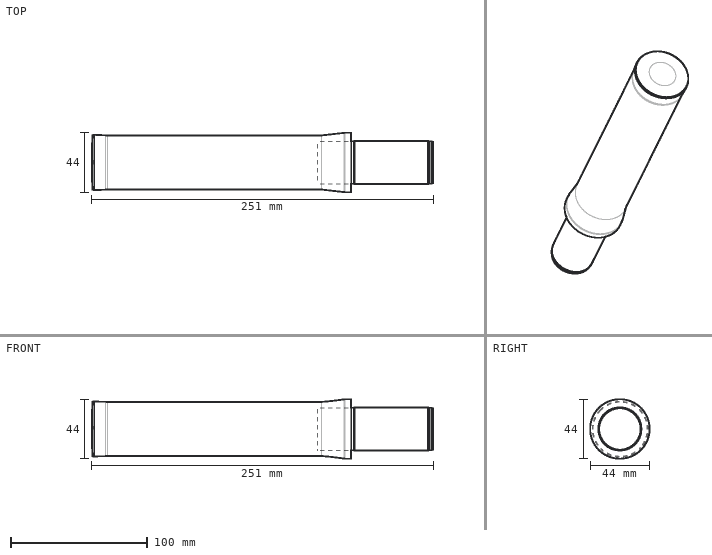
import cadquery as cq

total_length = 251.0
end_bevel_length = 1.8
foot_taper_end = 10.0
foot_end = 11.5
flare_start = 168.7
flare_end = 185.2
flange_start = 186.0
flange_end = 190.8
neck_end = 192.5
shank_start = 193.3
shank_end = 247.2
tip_start = 248.0
tip_bevel_start = 249.5

barrel_diameter = 40.0
flange_diameter = 44.0
flare_diameter = 43.7
foot_diameter = 41.0
foot_small_diameter = 40.2
end_face_diameter = 40.0

dimple_diameter = 20.3
dimple_depth = 0.8
end_face_fall = 0.5

rod_diameter = 32.0
neck_diameter = 31.5
tip_end_diameter = 30.4
socket_depth = 25.0
socket_floor = flange_end - socket_depth


def turned_solid(stations):
    """Revolve (x, diameter) stations about the X axis; both ends lie on the axis."""
    points = [(x, diameter / 2) for x, diameter in stations]
    return cq.Workplane("XY").polyline(points).close().revolve(360, (0, 0, 0), (1, 0, 0))


def make_housing():
    """Barrel with a tapered foot, a flared flange and a blind socket for the rod."""
    body = turned_solid([
        (dimple_depth, 0),
        (0, dimple_diameter),
        (end_face_fall, end_face_diameter),
        (end_bevel_length, foot_diameter),
        (foot_taper_end, foot_small_diameter),
        (foot_end, barrel_diameter),
        (flare_start, barrel_diameter),
        (flare_end, flare_diameter),
        (flange_start, flange_diameter),
        (flange_end, flange_diameter),
        (flange_end, 0),
    ])
    socket = turned_solid([
        (socket_floor, 0),
        (socket_floor, neck_diameter),
        (flange_end, neck_diameter),
        (flange_end, 0),
    ])
    return body.cut(socket)


def make_rod():
    """Rod seated in the socket, with a reduced neck and a reduced, bevelled tip."""
    return turned_solid([
        (socket_floor, 0),
        (socket_floor, neck_diameter),
        (neck_end, neck_diameter),
        (shank_start, rod_diameter),
        (shank_end, rod_diameter),
        (tip_start, neck_diameter),
        (tip_bevel_start, neck_diameter),
        (total_length, tip_end_diameter),
        (total_length, 0),
    ])


housing = make_housing()
rod = make_rod()

result = cq.Compound.makeCompound([housing.val(), rod.val()])